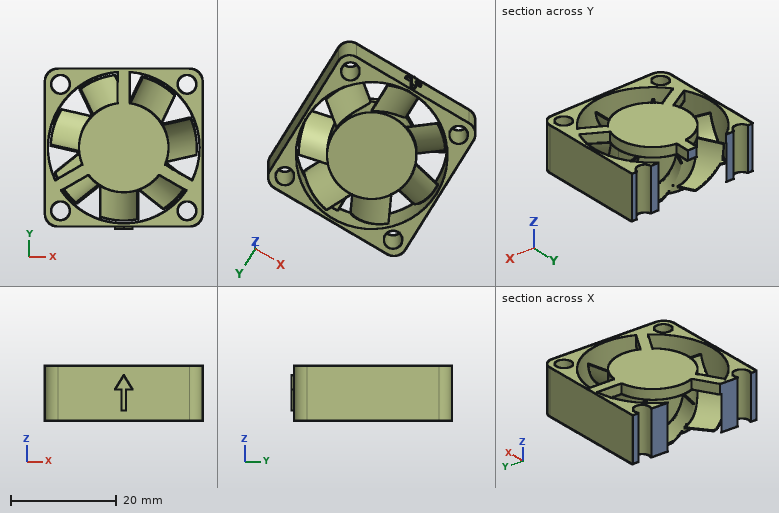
import cadquery as cq
import math

frame_side = 30.0
frame_height = 10.5
corner_radius = 2.5
bore_diameter = 28.75
mount_hole_diameter = 3.5
mount_hole_spacing = 24.0

hub_diameter = 17.0
plate_thickness = 2.3
spoke_width = 2.3
spoke_count = 3

arrow_height = 30.5 - frame_side
arrow_bottom = 1.95
arrow_head_base = 5.95
arrow_tip = 8.72
arrow_head_width = 3.35
arrow_stem_width = 0.88

rotor_height = frame_height - plate_thickness
blade_count = 7
blade_tip_radius = 13.88
blade_thickness = 0.25
blade_bottom = 0.85
blade_low_offset = -4.42
blade_high_offset = 2.78
blade_half_sweep = 34.0
first_blade_angle = -90.0


def make_spokes():
    """Spokes from the centre into the frame wall, the first toward +Y."""
    spoke_length = (bore_diameter / 2 + frame_side / 2) / 2
    spokes = cq.Workplane("XY")
    for index in range(spoke_count):
        spoke = (
            cq.Workplane("XY")
            .workplane(offset=rotor_height)
            .rect(spoke_length, spoke_width)
            .extrude(plate_thickness)
            .translate((spoke_length / 2, 0, 0))
            .rotate((0, 0, 0), (0, 0, 1), 90 + index * 360 / spoke_count)
        )
        spokes = spokes.add(spoke)
    return spokes.combine()


def make_arrow():
    """Arrow pointing up, standing out from the -Y face of the frame."""
    return (
        cq.Workplane("XZ", origin=(0, -frame_side / 2, 0))
        .moveTo(-arrow_stem_width / 2, arrow_bottom)
        .lineTo(arrow_stem_width / 2, arrow_bottom)
        .lineTo(arrow_stem_width / 2, arrow_head_base)
        .lineTo(arrow_head_width / 2, arrow_head_base)
        .lineTo(0, arrow_tip)
        .lineTo(-arrow_head_width / 2, arrow_head_base)
        .lineTo(-arrow_stem_width / 2, arrow_head_base)
        .close()
        .extrude(arrow_height)
    )


def make_housing():
    """Square frame with its bore, mounting holes, motor plate, spokes and arrow."""
    frame = (
        cq.Workplane("XY")
        .rect(frame_side, frame_side)
        .extrude(frame_height)
        .edges("|Z")
        .fillet(corner_radius)
    )
    bore = cq.Workplane("XY").circle(bore_diameter / 2).extrude(frame_height)
    mount_holes = (
        cq.Workplane("XY")
        .rect(mount_hole_spacing, mount_hole_spacing, forConstruction=True)
        .vertices()
        .circle(mount_hole_diameter / 2)
        .extrude(frame_height)
    )
    plate = (
        cq.Workplane("XY")
        .workplane(offset=rotor_height)
        .circle(hub_diameter / 2)
        .extrude(plate_thickness)
    )
    frame = frame.cut(bore).cut(mount_holes)
    return frame.union(plate).union(make_spokes()).union(make_arrow())


def make_blade():
    """Blade along +X: a thin arc section, concave side up, extruded radially."""
    chord_run = blade_high_offset - blade_low_offset
    chord_rise = rotor_height - blade_bottom
    chord_angle = math.atan2(chord_rise, chord_run)
    half_sweep = math.radians(blade_half_sweep)
    outer_radius = math.hypot(chord_run, chord_rise) / (2 * math.sin(half_sweep))
    inner_radius = outer_radius - blade_thickness

    middle_angle = chord_angle - math.pi / 2
    low_angle = middle_angle - half_sweep
    high_angle = middle_angle + half_sweep
    center_across = blade_low_offset - outer_radius * math.cos(low_angle)
    center_up = blade_bottom - outer_radius * math.sin(low_angle)

    def arc_point(radius, angle):
        return (center_across + radius * math.cos(angle), center_up + radius * math.sin(angle))

    blade = (
        cq.Workplane("YZ")
        .moveTo(*arc_point(outer_radius, low_angle))
        .threePointArc(arc_point(outer_radius, middle_angle), arc_point(outer_radius, high_angle))
        .lineTo(*arc_point(inner_radius, high_angle))
        .threePointArc(arc_point(inner_radius, middle_angle), arc_point(inner_radius, low_angle))
        .close()
        .extrude(blade_tip_radius)
    )
    tip_envelope = cq.Workplane("XY").circle(blade_tip_radius).extrude(rotor_height)
    return blade.intersect(tip_envelope)


def make_rotor():
    """Round hub under the motor plate with its ring of blades."""
    rotor = cq.Workplane("XY").circle(hub_diameter / 2).extrude(rotor_height)
    blade = make_blade()
    for index in range(blade_count):
        angle = first_blade_angle + index * 360 / blade_count
        rotor = rotor.union(blade.rotate((0, 0, 0), (0, 0, 1), angle))
    return rotor


housing = make_housing()
rotor = make_rotor()
result = cq.Compound.makeCompound([housing.val(), rotor.val()])